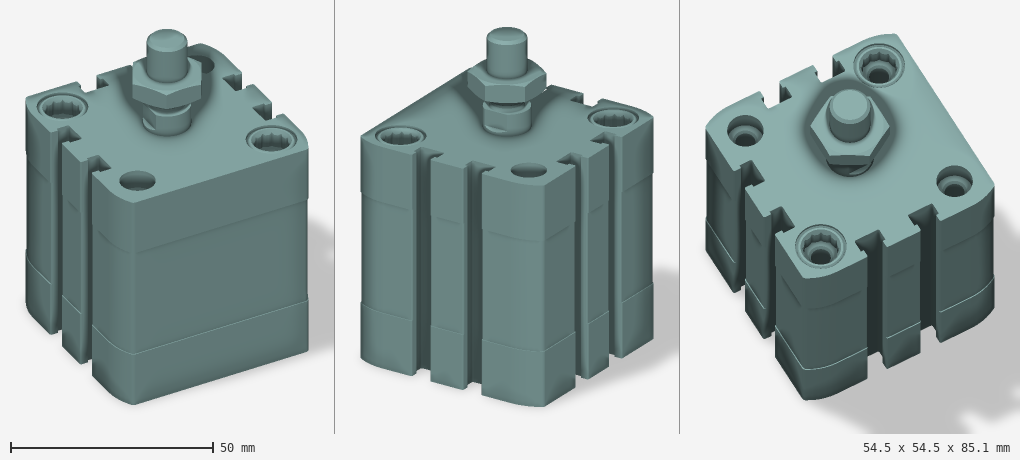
import cadquery as cq
import math

HOUSING_WIDTH = 54.5
HOUSING_HEIGHT = 60.0
CAP_HEIGHT = 15.0
BARREL_INSET = 0.25
HALF_WIDTH = HOUSING_WIDTH / 2

HOLE_OFFSET = 19.0
HOLE_DIA = 4.9
HOLE_MOUTH_DIA = 6.0
COUNTERBORE_DIA = 9.0
COUNTERBORE_DEPTH = 5.0

CORNER_BULGE_RADIUS = 15.0
CAP_CORNER_FILLET = 1.0
BARREL_CORNER_FILLET = 1.3

SLOT_OFFSET = 7.6
SLOT_DEPTH = 5.5
SLOT_NECK_WIDTH = 5.4
SLOT_NECK_DEPTH = 2.1
SLOT_WIDTH = 7.0
SLOT_LIP_RADIUS = 0.4
SLOT_FLOOR_RADIUS = 0.4

SCREW_RECESS_DIA = 12.8
SCREW_HEAD_DIA = 11.9
SCREW_RECESS_DEPTH = 0.8
SCREW_HEAD_SINK = 0.25
SCREW_HEAD_CHAMFER = 0.4
SOCKET_MOUTH_DIA = 10.0
SOCKET_MOUTH_DEPTH = 1.3
SOCKET_BORE_DIA = 8.6
SOCKET_ACROSS_FLATS = 8.0
SOCKET_DEPTH = COUNTERBORE_DEPTH

ROD_TOP = 85.1
ROD_DIA = 12.0
ROD_SEAT_DEPTH = CAP_HEIGHT
ROD_SHOULDER = 65.9
SHOULDER_INNER_DIA = 9.0
FLAT_SIZE = 10.0
FLAT_BOTTOM = 61.4
FLAT_RUNOUT_DROP = 0.6
NECK_DIA = 8.2
NECK_BOTTOM = 66.7
NECK_TOP = 67.4
RUNOUT_DIA = 8.5
RUNOUT_BOTTOM = 67.65
THREAD_DIA = 10.0
THREAD_BOTTOM = 69.8
THREAD_TIP_DIA = 8.5
THREAD_CHAMFER = (THREAD_DIA - THREAD_TIP_DIA) / 2

NUT_ACROSS_FLATS = 17.0
NUT_HEIGHT = 5.0
NUT_BOTTOM = 70.1
NUT_FACE_DIA = 16.7
NUT_CHAMFER_ANGLE = 18.0


def hex_corner_dia(across_flats):
    return across_flats / math.cos(math.pi / 6)


def disc(diameter, bottom, height):
    return cq.Workplane("XY", origin=(0, 0, bottom)).circle(diameter / 2).extrude(height)


def cone(bottom_dia, top_dia, bottom, height):
    solid = cq.Solid.makeCone(bottom_dia / 2, top_dia / 2, height, cq.Vector(0, 0, bottom))
    return cq.Workplane(solid)


def corner_bulge_end(half):
    """Y at which the large corner arc meets the X face."""
    run = half - HOLE_OFFSET
    return half - CORNER_BULGE_RADIUS + math.sqrt(CORNER_BULGE_RADIUS**2 - run**2)


def block(half, height, corner_fillet):
    """Block whose long edges are rounded by large arcs that start above the hole axes."""
    side_y = corner_bulge_end(half)
    return (
        cq.Workplane("XY")
        .moveTo(-HOLE_OFFSET, half)
        .lineTo(HOLE_OFFSET, half)
        .radiusArc((half, side_y), CORNER_BULGE_RADIUS)
        .lineTo(half, -side_y)
        .radiusArc((HOLE_OFFSET, -half), CORNER_BULGE_RADIUS)
        .lineTo(-HOLE_OFFSET, -half)
        .radiusArc((-half, -side_y), CORNER_BULGE_RADIUS)
        .lineTo(-half, side_y)
        .radiusArc((-HOLE_OFFSET, half), CORNER_BULGE_RADIUS)
        .close()
        .extrude(height)
        .edges("|Z and (<X or >X)")
        .fillet(corner_fillet)
    )


def slot_cutter(half, height):
    """T-slot with rounded lips, centred on X = 0 and open towards +Y at Y = half."""
    neck = SLOT_NECK_WIDTH / 2
    wide = SLOT_WIDTH / 2
    shoulder_y = HALF_WIDTH - SLOT_NECK_DEPTH
    floor_y = HALF_WIDTH - SLOT_DEPTH
    return (
        cq.Workplane("XY")
        .moveTo(-neck - SLOT_LIP_RADIUS, half)
        .radiusArc((-neck, half - SLOT_LIP_RADIUS), SLOT_LIP_RADIUS)
        .lineTo(-neck, shoulder_y)
        .lineTo(-wide, shoulder_y)
        .lineTo(-wide, floor_y + SLOT_FLOOR_RADIUS)
        .radiusArc((-wide + SLOT_FLOOR_RADIUS, floor_y), -SLOT_FLOOR_RADIUS)
        .lineTo(wide - SLOT_FLOOR_RADIUS, floor_y)
        .radiusArc((wide, floor_y + SLOT_FLOOR_RADIUS), -SLOT_FLOOR_RADIUS)
        .lineTo(wide, shoulder_y)
        .lineTo(neck, shoulder_y)
        .lineTo(neck, half - SLOT_LIP_RADIUS)
        .radiusArc((neck + SLOT_LIP_RADIUS, half), SLOT_LIP_RADIUS)
        .close()
        .extrude(height)
    )


def profile_section(half, bottom, height, corner_fillet):
    """One length of the slotted housing profile: pairs of slots on +Y, -X and -Y."""
    section = block(half, height, corner_fillet)
    for side_angle in (0, 90, 180):
        for offset in (-SLOT_OFFSET, SLOT_OFFSET):
            slot = slot_cutter(half, height).translate((offset, 0, 0))
            section = section.cut(slot.rotate((0, 0, 0), (0, 0, 1), side_angle))
    return section.translate((0, 0, bottom))


def hole_cutter():
    """Through hole with a conical mouth, opening at the counterbore floor."""
    floor = HOUSING_HEIGHT - COUNTERBORE_DEPTH
    mouth_depth = (HOLE_MOUTH_DIA - HOLE_DIA) / 2
    mouth = cone(HOLE_DIA, HOLE_MOUTH_DIA, floor - mouth_depth, mouth_depth)
    return disc(HOLE_DIA, 0, floor).union(mouth)


def counterbored_hole_cutter():
    counterbore = disc(COUNTERBORE_DIA, HOUSING_HEIGHT - COUNTERBORE_DEPTH, COUNTERBORE_DEPTH)
    return hole_cutter().union(counterbore)


def bearing_screw_cutter():
    """Recess around a sunken, chamfered screw head with a twelve-point socket and a through hole."""
    recess_floor = HOUSING_HEIGHT - SCREW_RECESS_DEPTH
    head_top = HOUSING_HEIGHT - SCREW_HEAD_SINK
    head = disc(SCREW_HEAD_DIA, recess_floor, head_top - recess_floor)
    head = head.faces(">Z").chamfer(SCREW_HEAD_CHAMFER)
    recess = disc(SCREW_RECESS_DIA, recess_floor, SCREW_RECESS_DEPTH).cut(head)

    socket_floor = HOUSING_HEIGHT - SOCKET_DEPTH
    socket_height = head_top - socket_floor
    mouth_bottom = head_top - SOCKET_MOUTH_DEPTH
    mouth = cone(SOCKET_BORE_DIA, SOCKET_MOUTH_DIA, mouth_bottom, SOCKET_MOUTH_DEPTH)
    socket = disc(SOCKET_BORE_DIA, socket_floor, socket_height).union(mouth)
    for turn in (0, 30):
        hexagon = (
            cq.Workplane("XY", origin=(0, 0, socket_floor))
            .polygon(6, hex_corner_dia(SOCKET_ACROSS_FLATS))
            .extrude(socket_height)
        )
        socket = socket.union(hexagon.rotate((0, 0, 0), (0, 0, 1), turn))
    return recess.union(socket).union(hole_cutter())


def make_housing():
    barrel_half = HALF_WIDTH - BARREL_INSET
    barrel_height = HOUSING_HEIGHT - 2 * CAP_HEIGHT
    upper_cap_bottom = HOUSING_HEIGHT - CAP_HEIGHT
    lower_cap = profile_section(HALF_WIDTH, 0, CAP_HEIGHT, CAP_CORNER_FILLET)
    barrel = profile_section(barrel_half, CAP_HEIGHT, barrel_height, BARREL_CORNER_FILLET)
    upper_cap = profile_section(HALF_WIDTH, upper_cap_bottom, CAP_HEIGHT, CAP_CORNER_FILLET)
    housing = lower_cap.union(barrel).union(upper_cap)

    for side in (-1, 1):
        screw_place = (side * HOLE_OFFSET, side * HOLE_OFFSET, 0)
        housing = housing.cut(bearing_screw_cutter().translate(screw_place))
        hole_place = (side * HOLE_OFFSET, -side * HOLE_OFFSET, 0)
        housing = housing.cut(counterbored_hole_cutter().translate(hole_place))

    rod_seat = disc(ROD_DIA, HOUSING_HEIGHT - ROD_SEAT_DEPTH, ROD_SEAT_DEPTH)
    return housing.cut(rod_seat)


def wrench_flat_cutter():
    """Cuts the flat that faces +Y, with a floor that falls outwards."""
    inner = FLAT_SIZE / 2
    outer = ROD_DIA / 2
    return (
        cq.Workplane("YZ")
        .moveTo(inner, FLAT_BOTTOM)
        .lineTo(outer, FLAT_BOTTOM - FLAT_RUNOUT_DROP)
        .lineTo(outer, ROD_SHOULDER)
        .lineTo(inner, ROD_SHOULDER)
        .close()
        .extrude(outer, both=True)
    )


def make_rod():
    rod = (
        cq.Workplane("XZ")
        .moveTo(0, HOUSING_HEIGHT - ROD_SEAT_DEPTH)
        .lineTo(ROD_DIA / 2, HOUSING_HEIGHT - ROD_SEAT_DEPTH)
        .lineTo(ROD_DIA / 2, ROD_SHOULDER)
        .lineTo(SHOULDER_INNER_DIA / 2, ROD_SHOULDER)
        .lineTo(NECK_DIA / 2, NECK_BOTTOM)
        .lineTo(NECK_DIA / 2, NECK_TOP)
        .lineTo(RUNOUT_DIA / 2, RUNOUT_BOTTOM)
        .lineTo(THREAD_DIA / 2, THREAD_BOTTOM)
        .lineTo(THREAD_DIA / 2, ROD_TOP - THREAD_CHAMFER)
        .lineTo(THREAD_TIP_DIA / 2, ROD_TOP)
        .lineTo(0, ROD_TOP)
        .close()
        .revolve(360, (0, 0, 0), (0, 1, 0))
    )
    flat = wrench_flat_cutter()
    return rod.cut(flat).cut(flat.mirror("XZ"))


def make_nut():
    """Hex nut with corners on the Y axis, chamfered on both faces."""
    corner_radius = hex_corner_dia(NUT_ACROSS_FLATS) / 2
    face_radius = NUT_FACE_DIA / 2
    chamfer_height = (corner_radius - face_radius) * math.tan(math.radians(NUT_CHAMFER_ANGLE))
    nut_top = NUT_BOTTOM + NUT_HEIGHT
    hexagon = (
        cq.Workplane("XY", origin=(0, 0, NUT_BOTTOM))
        .polygon(6, 2 * corner_radius)
        .extrude(NUT_HEIGHT)
        .rotate((0, 0, 0), (0, 0, 1), 90)
    )
    chamfered_envelope = (
        cq.Workplane("XZ")
        .moveTo(0, NUT_BOTTOM)
        .lineTo(face_radius, NUT_BOTTOM)
        .lineTo(corner_radius, NUT_BOTTOM + chamfer_height)
        .lineTo(corner_radius, nut_top - chamfer_height)
        .lineTo(face_radius, nut_top)
        .lineTo(0, nut_top)
        .close()
        .revolve(360, (0, 0, 0), (0, 1, 0))
    )
    thread_hole = disc(THREAD_DIA, NUT_BOTTOM, NUT_HEIGHT)
    return hexagon.intersect(chamfered_envelope).cut(thread_hole)


housing = make_housing()
piston_rod = make_rod()
lock_nut = make_nut()

result = cq.Compound.makeCompound([housing.val(), piston_rod.val(), lock_nut.val()])